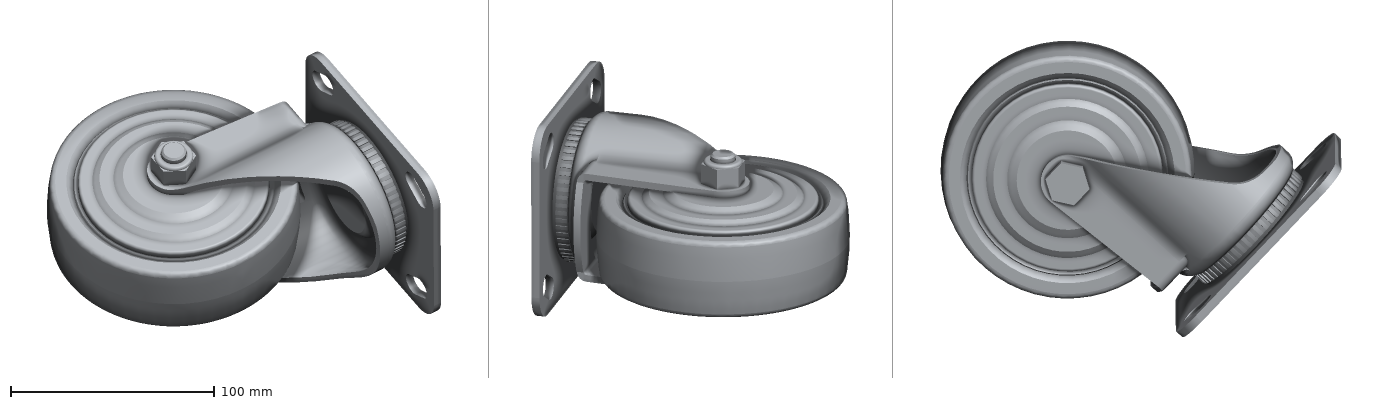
import cadquery as cq
import math


TYRE_RADIUS = 62.5
TYRE_HALF_WIDTH = 20.0
TYRE_SHOULDER_RADIUS = 60.7
TYRE_SHOULDER_FILLET = 2.7
TYRE_LIP_RADIUS = 52.9
HUB_RADIUS = 49.7
HUB_HALF_LENGTH = 25.0
GROOVE_EDGE_Z = 17.3
GROOVE_FLOOR_Z = 17.0
GROOVE_INNER_RADIUS = 47.1
RIM_BEAD_RADIUS = 49.0
RIM_BEAD_Z = 18.3
BOSS_RADIUS = 25.0
STEP_INNER_RADIUS = 29.6
STEP_OUTER_RADIUS = 36.5
STEP_Z = 22.7
FLANGE_INNER_RADIUS = 40.0
FLANGE_ROUND = 1.5
FLANGE_Z = 20.7

BOLT_RADIUS = 6.1
BOLT_END_Z = 43.5
BOLT_END_CHAMFER = 1.0
HEX_ACROSS_FLATS = 19.2
HEX_CORNERS = HEX_ACROSS_FLATS / math.cos(math.pi / 6)
HEAD_HEIGHT = 6.1
NUT_HEIGHT = 10.4
COLLAR_HEIGHT = 1.6
COLLAR_FILLET = 1.5
COLLAR_BORE_CLEARANCE = 0.3

SWIVEL_X = 40.0
SHEET = 3.5
LEG_INNER_Z = HUB_HALF_LENGTH
LEG_OUTER_Z = LEG_INNER_Z + SHEET
LEG_END_RADIUS = 13.1
LEG_TAPER = 4.1
BRIDGE_BOTTOM = 69.0
BRIDGE_TOP = BRIDGE_BOTTOM + SHEET
BRIDGE_EDGE_RADIUS = 54.3
BEND_INNER_RADIUS = 1.5
BEND_OUTER_RADIUS = BEND_INNER_RADIUS + SHEET
CROWN_RADIUS = 40.0
CROWN_TOP = 81.2
CROWN_OUTER_FILLET = 7.0
CROWN_INNER_FILLET = 5.1
CROWN_HOLE_RADIUS = 29.8
LEG_TO_CROWN_FILLET = 10.1
BRIDGE_TO_CROWN_FILLET = 3.2
RIM_CUT_X = 76.7
RIM_CORNER_Y = 65.5
RIM_CORNER_RADIUS = 21.5
LEG_SLOPE = 56.0

PIN_HEAD_RADIUS = 23.9
PIN_HEAD_END_RADIUS = 19.2
PIN_HEAD_HEIGHT = 4.0
SEAL_RADIUS = 35.7
SEAL_TOP = 87.3
SEAL_TEETH = 56
TOOTH_DEPTH = 0.6
RACE_RADIUS = 34.8
RACE_END_RADIUS = 34.0

PLATE_TOP = 93.2
PLATE_THICKNESS = 4.2
PLATE_BOTTOM = PLATE_TOP - PLATE_THICKNESS
PLATE_LENGTH = 115.0
PLATE_WIDTH = 100.0
PLATE_CORNER_RADIUS = 14.1
PLATE_TURN = 0.3
SLOT_X = 41.8
SLOT_Z = 36.0
SLOT_WIDTH = 11.2
SLOT_LENGTH = 20.2
SLOT_ANGLE = 30.0


def swivel_plane(y):
    """XZ workplane on the swivel axis at height y; a negative extrusion goes towards +Y."""
    return cq.Workplane("XZ", origin=(SWIVEL_X, y, 0))


def swivel_disc(radius, bottom, top):
    """Solid disc on the swivel axis between two heights along Y."""
    return swivel_plane(bottom).circle(radius).extrude(bottom - top)


def block(x_range, y_range, half_z):
    """Box between two X and two Y limits, symmetric about z = 0."""
    width = x_range[1] - x_range[0]
    height = y_range[1] - y_range[0]
    corner = (x_range[0], y_range[0], -half_z)
    return cq.Workplane("XY", origin=corner).box(width, height, 2 * half_z, centered=False)


def make_tyre():
    crown_z = TYRE_HALF_WIDTH / 2
    crown_mid = TYRE_RADIUS - (TYRE_RADIUS - TYRE_SHOULDER_RADIUS) / 4
    tyre = (
        cq.Workplane("XZ")
        .moveTo(HUB_RADIUS, -GROOVE_EDGE_Z)
        .lineTo(TYRE_LIP_RADIUS, -TYRE_HALF_WIDTH)
        .lineTo(TYRE_SHOULDER_RADIUS, -TYRE_HALF_WIDTH)
        .threePointArc((crown_mid, -crown_z), (TYRE_RADIUS, 0))
        .threePointArc((crown_mid, crown_z), (TYRE_SHOULDER_RADIUS, TYRE_HALF_WIDTH))
        .lineTo(TYRE_LIP_RADIUS, TYRE_HALF_WIDTH)
        .lineTo(HUB_RADIUS, GROOVE_EDGE_Z)
        .close()
        .revolve(360, (0, 0), (0, 1))
    )
    shoulders = tyre.faces("<Z or >Z").edges(cq.selectors.RadiusNthSelector(-1))
    return shoulders.fillet(TYRE_SHOULDER_FILLET)


def make_hub():
    upper_steps = [
        (BOSS_RADIUS, HUB_HALF_LENGTH),
        (STEP_INNER_RADIUS, STEP_Z),
        (STEP_OUTER_RADIUS, STEP_Z),
        (FLANGE_INNER_RADIUS, FLANGE_Z),
        (GROOVE_INNER_RADIUS, FLANGE_Z),
        (GROOVE_INNER_RADIUS, GROOVE_FLOOR_Z),
        (RIM_BEAD_RADIUS, RIM_BEAD_Z),
        (HUB_RADIUS, GROOVE_EDGE_Z),
    ]
    lower_steps = [(radius, -z) for radius, z in reversed(upper_steps)]
    ends = [(BOLT_RADIUS, -HUB_HALF_LENGTH), (BOLT_RADIUS, HUB_HALF_LENGTH)]
    hub = cq.Workplane("XZ").polyline(ends + upper_steps + lower_steps).close()
    hub = hub.revolve(360, (0, 0), (0, 1))
    groove_edges = hub.edges("%CIRCLE").edges(cq.selectors.RadiusNthSelector(-3))
    return groove_edges.edges("<Z or >Z").fillet(FLANGE_ROUND)


def make_bolt():
    head_bottom = -LEG_OUTER_Z - HEAD_HEIGHT
    shank_length = BOLT_END_Z + LEG_OUTER_Z
    shank = cq.Workplane("XY", origin=(0, 0, -LEG_OUTER_Z)).circle(BOLT_RADIUS).extrude(shank_length)
    shank = shank.faces(">Z").chamfer(BOLT_END_CHAMFER)
    head = cq.Workplane("XY", origin=(0, 0, head_bottom)).polygon(6, HEX_CORNERS).extrude(HEAD_HEIGHT)
    return head.union(shank)


def make_nut():
    nut = cq.Workplane("XY", origin=(0, 0, LEG_OUTER_Z)).polygon(6, HEX_CORNERS).extrude(NUT_HEIGHT)
    collar_bottom = (0, 0, LEG_OUTER_Z + NUT_HEIGHT)
    collar = cq.Workplane("XY", origin=collar_bottom).circle(HEX_ACROSS_FLATS / 2).extrude(COLLAR_HEIGHT)
    collar = collar.faces(">Z").edges().fillet(COLLAR_FILLET)
    collar = collar.cut(
        cq.Workplane("XY", origin=collar_bottom)
        .circle(BOLT_RADIUS + COLLAR_BORE_CLEARANCE)
        .extrude(COLLAR_HEIGHT)
    )
    bore = cq.Workplane("XY", origin=(0, 0, LEG_OUTER_Z)).circle(BOLT_RADIUS).extrude(NUT_HEIGHT)
    return nut.cut(bore).union(collar)


def fork_side_outline():
    """Side outline of legs and crown, extruded along Z through the whole fork."""
    slope = math.radians(LEG_SLOPE)
    tangent_x = LEG_END_RADIUS * math.sin(slope)
    tangent_y = -LEG_END_RADIUS * math.cos(slope)
    taper = math.radians(LEG_TAPER)
    free_edge_x = -LEG_END_RADIUS * math.cos(taper)
    free_edge_y = LEG_END_RADIUS * math.sin(taper)
    leg_top_x = free_edge_x + (BRIDGE_BOTTOM - free_edge_y) * math.tan(taper)
    run = (RIM_CORNER_Y - tangent_y) / math.tan(slope)
    corner = (tangent_x + run, RIM_CORNER_Y)
    crown_end = SWIVEL_X + CROWN_RADIUS
    outline = (
        cq.Workplane("XY", origin=(0, 0, -CROWN_RADIUS))
        .moveTo(free_edge_x, free_edge_y)
        .threePointArc((0, -LEG_END_RADIUS), (tangent_x, tangent_y))
        .lineTo(*corner)
        .lineTo(RIM_CUT_X, BRIDGE_BOTTOM)
        .lineTo(crown_end, BRIDGE_BOTTOM)
        .lineTo(crown_end, CROWN_TOP)
        .lineTo(leg_top_x, CROWN_TOP)
        .lineTo(leg_top_x, BRIDGE_BOTTOM)
        .close()
        .extrude(2 * CROWN_RADIUS)
    )
    corner_edge = cq.selectors.NearestToPointSelector((*corner, 0))
    return outline.edges("|Z").edges(corner_edge).fillet(RIM_CORNER_RADIUS)


def crown_foot():
    """Concave ring that rounds the corner between the crown wall and the top of the bridge."""
    radius = BRIDGE_TO_CROWN_FILLET
    on_bridge = (CROWN_RADIUS + radius, BRIDGE_TOP)
    on_crown = (CROWN_RADIUS, BRIDGE_TOP + radius)
    diagonal = radius * (1 - math.sqrt(0.5))
    arc_middle = (CROWN_RADIUS + diagonal, BRIDGE_TOP + diagonal)
    return (
        cq.Workplane("XY", origin=(SWIVEL_X, 0, 0))
        .moveTo(CROWN_RADIUS, BRIDGE_TOP)
        .lineTo(*on_bridge)
        .threePointArc(arc_middle, on_crown)
        .close()
        .revolve(360, (0, 0), (0, 1))
    )


def make_fork():
    leg_end = -2 * LEG_END_RADIUS
    bend_start_y = BRIDGE_TOP - BEND_OUTER_RADIUS
    bend_start_z = LEG_OUTER_Z - BEND_OUTER_RADIUS
    flat_bridge = block((leg_end, SWIVEL_X), (BRIDGE_BOTTOM, CROWN_TOP), bend_start_z)

    fork = swivel_disc(CROWN_RADIUS, leg_end, bend_start_y)
    fork = fork.union(block((leg_end, SWIVEL_X), (leg_end, bend_start_y), LEG_OUTER_Z))
    junction_x = SWIVEL_X - math.sqrt(CROWN_RADIUS**2 - LEG_OUTER_Z**2)
    for side in (-1, 1):
        junction = (junction_x, bend_start_y / 2, side * LEG_OUTER_Z)
        junction_edge = cq.selectors.NearestToPointSelector(junction)
        fork = fork.edges("|Y").edges(junction_edge).fillet(LEG_TO_CROWN_FILLET)
    dome = swivel_disc(CROWN_RADIUS, bend_start_y, CROWN_TOP)
    dome = dome.faces(">Y").edges().fillet(CROWN_OUTER_FILLET)
    strap = block((leg_end, SWIVEL_X), (leg_end, BRIDGE_TOP), LEG_OUTER_Z)
    strap = strap.edges("|X and >Y").fillet(BEND_OUTER_RADIUS)
    fork = fork.union(dome).union(strap).union(crown_foot().intersect(flat_bridge))

    cavity = swivel_disc(CROWN_RADIUS - SHEET, leg_end, CROWN_TOP - SHEET)
    cavity = cavity.faces(">Y").edges().fillet(CROWN_INNER_FILLET)
    wheel_gap = block((leg_end, SWIVEL_X), (leg_end, BRIDGE_BOTTOM), LEG_INNER_Z)
    wheel_gap = wheel_gap.edges("|X and >Y").fillet(BEND_INNER_RADIUS)
    fork = fork.cut(cavity).cut(wheel_gap).intersect(fork_side_outline())

    for bottom in (LEG_OUTER_Z, -LEG_OUTER_Z - NUT_HEIGHT):
        seat = cq.Workplane("XY", origin=(0, 0, bottom)).polygon(6, HEX_CORNERS).extrude(NUT_HEIGHT)
        fork = fork.cut(seat)

    bulge = swivel_disc(BRIDGE_EDGE_RADIUS, BRIDGE_BOTTOM, BRIDGE_TOP)
    bulge = bulge.intersect(block((leg_end, 0), (BRIDGE_BOTTOM, BRIDGE_TOP), bend_start_z))
    bulge = bulge.cut(cavity)
    hole = swivel_disc(CROWN_HOLE_RADIUS, CROWN_TOP - SHEET, CROWN_TOP)
    bolt_hole = cq.Workplane("XY").circle(BOLT_RADIUS).extrude(LEG_OUTER_Z, both=True)
    return fork.union(bulge).cut(hole).cut(bolt_hole)


def make_king_pin():
    disc_bottom = CROWN_TOP - SHEET
    disc = swivel_disc(CROWN_HOLE_RADIUS, disc_bottom, CROWN_TOP)
    head = (
        swivel_plane(disc_bottom)
        .circle(PIN_HEAD_RADIUS)
        .workplane(offset=PIN_HEAD_HEIGHT)
        .circle(PIN_HEAD_END_RADIUS)
        .loft()
    )
    return disc.union(head)


def make_seal():
    """Disc with square teeth around its edge; teeth and gaps are equally wide."""
    tooth_width = math.pi * SEAL_RADIUS / SEAL_TEETH
    quarter_pitch = 360 / SEAL_TEETH / 4
    gaps = (
        swivel_plane(CROWN_TOP)
        .polarArray(SEAL_RADIUS, quarter_pitch, 360, SEAL_TEETH)
        .rect(2 * TOOTH_DEPTH, tooth_width)
        .extrude(CROWN_TOP - SEAL_TOP)
    )
    return swivel_disc(SEAL_RADIUS, CROWN_TOP, SEAL_TOP).cut(gaps)


def make_race():
    """Disc under the plate, slightly conical."""
    return (
        swivel_plane(SEAL_TOP)
        .circle(RACE_END_RADIUS)
        .workplane(offset=SEAL_TOP - PLATE_BOTTOM)
        .circle(RACE_RADIUS)
        .loft()
    )


def make_plate():
    plate = swivel_plane(PLATE_BOTTOM).rect(PLATE_LENGTH, PLATE_WIDTH).extrude(-PLATE_THICKNESS)
    plate = plate.edges("|Y").fillet(PLATE_CORNER_RADIUS)
    for x_side in (-1, 1):
        for z_side in (-1, 1):
            slot = (
                swivel_plane(PLATE_BOTTOM)
                .center(x_side * SLOT_X, z_side * SLOT_Z)
                .slot2D(SLOT_LENGTH, SLOT_WIDTH, -x_side * z_side * SLOT_ANGLE)
                .extrude(-PLATE_THICKNESS)
            )
            plate = plate.cut(slot)
    return plate.rotate((SWIVEL_X, 0, 0), (SWIVEL_X, -1, 0), PLATE_TURN)


tyre = make_tyre()
hub = make_hub()
bolt = make_bolt()
nut = make_nut()
fork = make_fork()
king_pin = make_king_pin()
seal = make_seal()
race = make_race()
plate = make_plate()

result = cq.Compound.makeCompound(
    [part.val() for part in (tyre, hub, bolt, nut, fork, king_pin, seal, race, plate)]
)